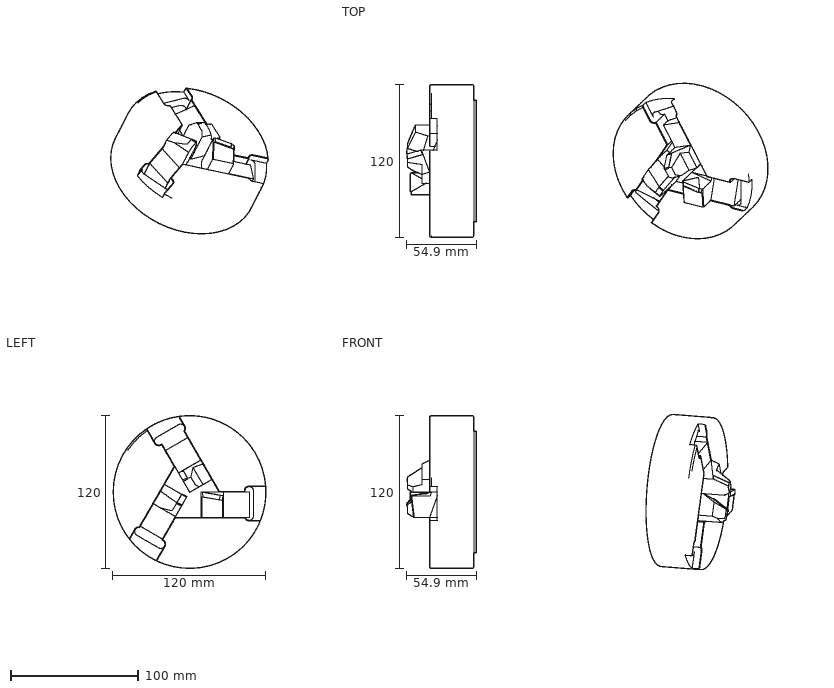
import cadquery as cq
import math


head_radius = 60.0
head_length = 34.7
rim_fillet = 1.5
spigot_radius = 47.8
spigot_chamfer = 0.4
back_x = 36.8

cutter_count = 3
cutter_width = 20.0
channel_depth = 15.0
channel_start = -cutter_width / math.sqrt(3)
relief_width = 6.6
relief_radial = 46.8
slot_depth = 5.9
slot_top = 4.2
slot_width = 26.4
slot_edge_chamfer = 0.5

foot_length = 37.9
tooth_length = 17.5
foot_top_x = 0.0
foot_slope = 0.36
inner_reach = -0.2
middle_reach = 4.7
outer_reach = 9.1

inner_top_x = -17.5
inner_shelf_x = -6.0
inner_flank_top_side = -6.7
inner_flank_foot_side = -12.0
inner_flank_slope = (inner_shelf_x - inner_top_x) / (inner_flank_foot_side - inner_flank_top_side)
inner_outer_slope = 1.73
inner_outer_relief = -0.32
inner_corner_radial = 2.6
inner_corner_slope = -1.5
inner_tip_x = -17.9
inner_tip_start = 9.6
inner_tip_thickness = 4.1

middle_top_x = -17.4
middle_land = 4.5
middle_top_relief = -0.41
middle_inner_foot_x = -1.5
middle_inner_slope = -1.56
middle_inner_relief = -0.26
middle_corner_radial = 19.7
middle_corner_slope = 1.5
middle_tip_x = -18.1
middle_tip_back_x = -5.5
middle_tip_start = 4.2
middle_tip_end = 12.8

outer_top_x = -15.0
outer_low_x = -12.6
outer_edge_chamfer = 0.6
rake_drop = 3.0
rake_floor_x = 1.5
rake_floor_rise = 1.0
outer_tip_x = -15.4
outer_tip_end = 24.0
outer_tip_end_relief = 0.6
outer_tip_thickness = 3.7
outer_tip_point_x = -1.5
outer_tip_point_radial = 16.5
outer_tip_half_angle = 30.0
outer_tip_rake_step = 0.1
outer_seat_x = -14.5

tip_proud = 0.5
tip_top_relief = -0.1
corner_fillet = 1.7
oversize = 120.0


def block(x_from, x_to, radial_from, radial_to, side_from, side_to):
    """Box between pairs of axial, radial and side limits on the spoke."""
    size = (x_to - x_from, radial_to - radial_from, side_to - side_from)
    return cq.Workplane("XY").box(*size, centered=False).translate((x_from, -radial_to, side_from))


def prism(points, x_from, x_to):
    """Prism along X over an outline of (radial, side) points."""
    outline = [(-radial, side) for radial, side in points]
    return cq.Workplane("YZ").polyline(outline).close().extrude(x_to - x_from).translate((x_from, 0, 0))


def trim(solid, x, radial, side, radial_slope=0.0, side_slope=0.0):
    """Cut off what lies in front (-X) of the plane through a point with the given slopes of x."""
    plane = cq.Plane(origin=(x, -radial, side), xDir=(radial_slope, -1, 0),
                     normal=(-1, -radial_slope, side_slope))
    return solid.cut(cq.Workplane(plane).rect(oversize, oversize).extrude(oversize))


def round_edge(solid, x, radial, side):
    """Fillet the edge whose middle is nearest to a point on the spoke."""
    return solid.edges(cq.NearestToPointSelector((x, -radial, side))).fillet(corner_fillet)


def turn_to_slot(solid, index):
    """Turn a solid from the spoke about X to the slot with the given number."""
    return solid.rotate((0, 0, 0), (1, 0, 0), -index * 360 / cutter_count)


def slot_cut():
    """Channel for a cutter, its end relief and the shallow slot out to the rim."""
    slot_bottom = slot_top - slot_width
    slot_middle = slot_top - slot_width / 2
    channel = block(0, channel_depth, channel_start, relief_radial, -cutter_width, 0)
    relief = (
        cq.Workplane("YZ")
        .center(-relief_radial, slot_middle)
        .slot2D(slot_width, relief_width, 90)
        .extrude(channel_depth)
    )
    slot = block(0, slot_depth, relief_radial, oversize, slot_bottom, slot_top)
    return channel.union(relief).union(slot)


def make_head():
    """Disc with a spigot behind it and three chamfered slots."""
    slots = slot_cut()
    for index in range(1, cutter_count):
        slots = slots.union(turn_to_slot(slot_cut(), index))
    disc = cq.Workplane("YZ").circle(head_radius).extrude(head_length)
    spigot = cq.Workplane("YZ").circle(spigot_radius).extrude(back_x - head_length)
    spigot = spigot.translate((head_length, 0, 0)).faces(">X").chamfer(spigot_chamfer)

    wide_radius = head_radius + 2 * rim_fillet
    wide_disc = cq.Workplane("YZ").circle(wide_radius).extrude(head_length).cut(slots)
    chamfered = wide_disc.faces("<X").edges().chamfer(slot_edge_chamfer)
    return chamfered.intersect(disc.edges().fillet(rim_fillet)).union(spigot)


def make_foot(reach):
    """Foot that fills the channel, its top sloping across the width."""
    foot = block(foot_top_x, channel_depth, reach, reach + foot_length, -cutter_width, 0)
    return trim(foot, foot_top_x, reach, -cutter_width, side_slope=foot_slope)


def make_inner_cutter():
    """Cutter nearest to the axis, with a narrow ridge above a flat shelf."""
    reach = inner_reach
    heel = reach + tooth_length
    shelf = block(inner_shelf_x, channel_depth, reach, heel, -cutter_width, 0)
    ridge = block(inner_top_x, inner_shelf_x, reach, heel, inner_flank_foot_side, 0)
    ridge = trim(ridge, inner_top_x, reach, inner_flank_top_side, side_slope=inner_flank_slope)
    ridge = trim(ridge, inner_top_x, inner_corner_radial, 0, inner_corner_slope)
    ridge = round_edge(ridge, inner_top_x, inner_corner_radial, inner_flank_top_side / 2)
    tooth = shelf.union(ridge)
    tip = block(inner_tip_x, inner_shelf_x, inner_tip_start, heel, -inner_tip_thickness, 0)
    tip = trim(tip, inner_tip_x, heel, 0, side_slope=tip_top_relief)
    tooth = trim(tooth, 0, heel, -cutter_width, inner_outer_slope, inner_outer_relief)
    tip = trim(tip, -tip_proud, heel, -cutter_width, inner_outer_slope, inner_outer_relief)
    return tooth.union(tip).union(make_foot(reach))


def make_middle_cutter():
    """Cutter with a sloping inner flank and a rounded outer corner."""
    reach = middle_reach
    heel = reach + tooth_length
    tooth = block(middle_top_x, channel_depth, reach, heel, -cutter_width, 0)
    tooth = trim(tooth, middle_top_x, middle_corner_radial, 0, middle_corner_slope)
    tooth = round_edge(tooth, middle_top_x, middle_corner_radial, -cutter_width / 2)
    tooth = trim(tooth, middle_top_x, reach, -middle_land, side_slope=middle_top_relief)
    tip = block(middle_tip_x, middle_tip_back_x, middle_tip_start, middle_tip_end, -middle_land, 0)
    tip = trim(tip, middle_tip_x, reach, 0, side_slope=tip_top_relief)
    inner_plane = (reach, -cutter_width, middle_inner_slope, middle_inner_relief)
    tooth = trim(tooth, middle_inner_foot_x, *inner_plane)
    tip = trim(tip, middle_inner_foot_x - tip_proud, *inner_plane)
    return tooth.union(tip).union(make_foot(reach))


def outer_tip_triangle(side_from, side_to):
    """Triangle with its point towards the head, as a prism across the side direction."""
    height = outer_tip_point_x - outer_tip_x
    half_width = height * math.tan(math.radians(outer_tip_half_angle))
    outline = [
        (outer_tip_point_x, -outer_tip_point_radial),
        (outer_tip_x, -outer_tip_point_radial + half_width),
        (outer_tip_x, -outer_tip_point_radial - half_width),
    ]
    return (
        cq.Workplane("XY")
        .workplane(offset=side_from)
        .polyline(outline)
        .close()
        .extrude(side_to - side_from)
    )


def make_outer_cutter():
    """Cutter furthest from the axis, with a slanting rake face and a triangular tip."""
    reach = outer_reach
    heel = reach + tooth_length
    top_relief = (outer_top_x - outer_low_x) / cutter_width

    def rake_side(radial):
        return -rake_drop * (radial - reach) / tooth_length

    def under_rake(radial):
        return rake_side(radial) - outer_tip_thickness

    tooth = block(outer_top_x, channel_depth, reach, heel, -cutter_width, 0)
    tooth = trim(tooth, outer_top_x, reach, 0, side_slope=top_relief)

    seat_start = outer_tip_end - outer_tip_end_relief
    seat_outline = [
        (seat_start, rake_side(seat_start)),
        (heel, rake_side(heel)),
        (heel, under_rake(heel)),
        (seat_start, under_rake(seat_start)),
    ]
    tooth = tooth.cut(prism(seat_outline, outer_tip_x, outer_seat_x))
    tooth = tooth.union(prism(seat_outline, outer_seat_x, 0))

    rake_gap = prism([(reach, 0), (heel, 0), (heel, -rake_drop)], outer_tip_x, rake_floor_x)
    rake_floor = block(rake_floor_x - rake_floor_rise, rake_floor_x, reach, heel, -rake_drop, 0)
    rake_floor = trim(rake_floor, rake_floor_x, reach, 0, side_slope=rake_floor_rise / rake_drop)
    tooth = tooth.cut(rake_gap).union(rake_floor)

    tip_outline = [
        (reach, outer_tip_rake_step),
        (outer_tip_end, rake_side(outer_tip_end) + outer_tip_rake_step),
        (seat_start, under_rake(seat_start)),
        (reach, under_rake(reach)),
    ]
    tip = prism(tip_outline, outer_tip_x, 0).intersect(outer_tip_triangle(-cutter_width, outer_tip_rake_step))
    tooth = tooth.union(tip)

    for radial, slope in ((reach + outer_edge_chamfer, -1), (heel - outer_edge_chamfer, 1)):
        tooth = trim(tooth, outer_top_x, radial, 0, slope, top_relief)
    return tooth.union(make_foot(reach))


head = make_head()
cutters = [make_outer_cutter(), make_inner_cutter(), make_middle_cutter()]
placed_cutters = [turn_to_slot(cutter, index) for index, cutter in enumerate(cutters)]
result = cq.Compound.makeCompound([head.val(), *[cutter.val() for cutter in placed_cutters]])